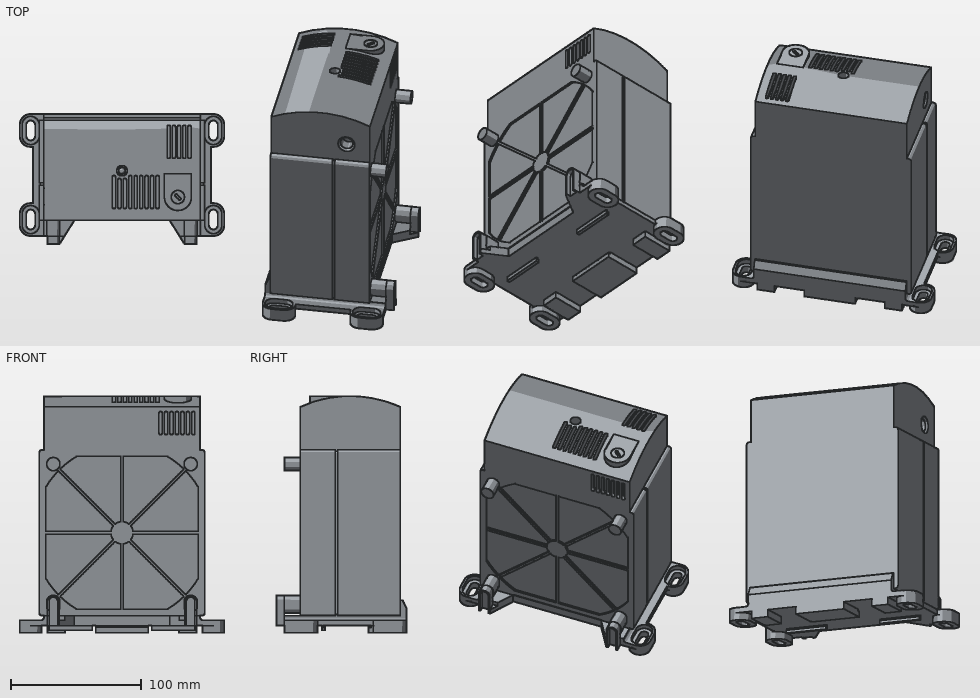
import cadquery as cq
import math


TOTAL_HEIGHT = 181.1
OVERALL_WIDTH = 156.5
FRONT_REACH = 18.1
BASE_FRONT = 12.0
BASE_BACK = 81.5

BODY_DEPTH = 76.8
HOOD_WIDTH = 119.5
EAVES_HEIGHT = 172.8
FAN_SIZE = 126.8
FAN_BOTTOM = 13.2
FAN_CORNER_RADIUS = 2.4
FAN_CENTER_Z = FAN_BOTTOM + FAN_SIZE / 2
SEAM_WIDTH = 1.8
SEAM_DEPTH = 0.9
SEAM_Y = 27.9

GRILLE_WIDTH = 116.6
GRILLE_RADIUS = 68.0
GRILLE_DEPTH = 1.5
HUB_RADIUS = 8.5
SPOKE_WIDTH = 2.0
SPOKE_BARS = 4

POST_X = 52.5
POST_RADIUS = 5.0
TOP_POST_Z = FAN_CENTER_Z + POST_X
LOW_POST_Z = 23.7
LOW_POST_DROP = 3.5
CLIP_WIDTH = 9.0
CLIP_GROOVE_WIDTH = 6.5
CLIP_GROOVE_DEPTH = 3.6

PLATE_BOTTOM = 5.6
FLANGE_TOP = 9.8
PAD_FRONT = 0.5
FLANGE_WIDTH = 136.2
PAD_FILLET = 2.2
GUSSET_INNER_X = 36.4
GUSSET_TIP_X = 47.8
BACK_WALL_TOP = 25.2
BACK_WALL_BEVEL_Y = 3.0
BACK_WALL_BEVEL_Z = 6.3

EAR_WIDTH = 16.8
EAR_RADIUS = EAR_WIDTH / 2
EAR_X = OVERALL_WIDTH / 2 - EAR_RADIUS
EAR_LENGTH = 25.4
EAR_POCKET_RADIUS = 6.5
EAR_POCKET_DEPTH = 4.0
EAR_SLOT_WIDTH = 6.7
EAR_SLOT_LENGTH = 15.0

HOOK_BACK_Y = 54.1
HOOK_LIP = 2.0
BACK_LIP_TOP = 4.3
BACK_HOOK_WIDTH = 40.2
BLOCK_INNER_X = 43.5
BLOCK_OUTER_X = POST_X + CLIP_WIDTH / 2
FRONT_HOOK_Y = 16.7
FRONT_HOOK_STEM = 1.3
FRONT_HOOK_INNER_X = 22.6
FRONT_HOOK_OUTER_X = 55.8
FRONT_HOOK_BOTTOM = 2.0

VENT_WIDTH = 2.5
VENT_PITCH = 4.2
VENT_DEPTH = 3.6
ROOF_VENT_FLOOR = 170.2
ROOF_VENT_LENGTH = 25.4
FRONT_VENT_LENGTH = 17.7
FRONT_VENT_TOP = 169.3
FRONT_VENT_LAST_X = 54.5
FRONT_VENT_COUNT = 7
REAR_VENT_START_Y = 47.5
REAR_VENT_LAST_X = 51.6
REAR_VENT_PITCH = 4.0
REAR_VENT_COUNT = 5
MIDDLE_VENT_START_Y = 9.0
MIDDLE_VENT_LAST_X = 27.2
MIDDLE_VENT_COUNT = 9
SHORT_VENTS = (1, 2)
SHORT_VENT_LOSS = 2.2

CAP_X = 42.7
CAP_RADIUS = 10.3
CAP_CENTER_Y = 18.0
CAP_BACK_Y = 35.7
DIAL_RADIUS = 5.0
DIAL_RECESS = 0.2
DIAL_SLOT_LENGTH = 5.5
DIAL_SLOT_WIDTH = 1.8
DIAL_SLOT_DEPTH = 1.8
DIAL_SLOT_ANGLE = -45
INDICATOR_Y = 38.0
INDICATOR_RADIUS = 4.0
INDICATOR_DEPTH = 10.9
LAMP_RADIUS = 2.5
ENTRY_Y = 18.3
ENTRY_Z = 154.7
ENTRY_RADIUS = 4.9
ENTRY_RIM_RADIUS = 6.5
ENTRY_DEPTH = 10.9


def block(x_range, y_range, z_range):
    """Axis-aligned box between the given limits."""
    size = [high - low for low, high in (x_range, y_range, z_range)]
    corner = (x_range[0], y_range[0], z_range[0])
    return cq.Workplane("XY").box(*size, centered=False).translate(corner)


def centred_block(width, y_range, z_range):
    return block((-width / 2, width / 2), y_range, z_range)


def both_sides(shape):
    """The shape together with its mirror image across the YZ plane."""
    return shape.union(shape.mirror("YZ"))


def cylinder(center, radius, length, direction):
    return cq.Workplane(cq.Solid.makeCylinder(radius, length, cq.Vector(*center), cq.Vector(*direction)))


def upright_slot(x, y, z, width, length, height):
    """Round-ended slot along Y, centred on (x, y), rising from z."""
    return cq.Workplane("XY", origin=(x, y, z)).slot2D(length, width, 90).extrude(height)


def make_hood():
    profile = (
        cq.Workplane("YZ", origin=(-HOOD_WIDTH / 2, 0, 0))
        .moveTo(0, FAN_BOTTOM)
        .lineTo(0, EAVES_HEIGHT)
        .threePointArc((BODY_DEPTH / 2, TOTAL_HEIGHT), (BODY_DEPTH, EAVES_HEIGHT))
        .lineTo(BODY_DEPTH, FAN_BOTTOM)
        .close()
    )
    return profile.extrude(HOOD_WIDTH)


def rounded_frame(inset, y_range):
    """Square block with rounded corners, drawn in from the fan outline by the inset."""
    low = FAN_BOTTOM + inset
    high = FAN_BOTTOM + FAN_SIZE - inset
    frame = centred_block(FAN_SIZE - 2 * inset, y_range, (low, high))
    return frame.edges("|Y").fillet(FAN_CORNER_RADIUS)


def make_fan_frame():
    """Square housing around the fan, with a shallow seam groove around it."""
    seam_front = SEAM_Y - SEAM_WIDTH / 2
    seam_back = SEAM_Y + SEAM_WIDTH / 2
    front_part = rounded_frame(0, (0, seam_front))
    seam_floor = rounded_frame(SEAM_DEPTH, (seam_front, seam_back))
    back_part = rounded_frame(0, (seam_back, BODY_DEPTH))
    return front_part.union(seam_floor).union(back_part)


def make_grille_recess():
    """Eight shallow sectors left between the hub and the spokes."""
    center = (0, 0, FAN_CENTER_Z)
    square = centred_block(
        GRILLE_WIDTH,
        (0, GRILLE_DEPTH),
        (FAN_CENTER_Z - GRILLE_WIDTH / 2, FAN_CENTER_Z + GRILLE_WIDTH / 2),
    )
    recess = square.intersect(cylinder(center, GRILLE_RADIUS, GRILLE_DEPTH, (0, 1, 0)))
    recess = recess.cut(cylinder(center, HUB_RADIUS, GRILLE_DEPTH, (0, 1, 0)))
    for i in range(SPOKE_BARS):
        bar = cq.Workplane("XY").box(2 * GRILLE_RADIUS, GRILLE_DEPTH, SPOKE_WIDTH)
        bar = bar.rotate((0, 0, 0), (0, 1, 0), i * 180 / SPOKE_BARS)
        recess = recess.cut(bar.translate((0, GRILLE_DEPTH / 2, FAN_CENTER_Z)))
    return recess


def make_posts():
    """Round upper posts and taller, round-ended lower posts."""
    posts = cylinder((POST_X, 0, TOP_POST_Z), POST_RADIUS, BASE_FRONT, (0, -1, 0))
    low_center = LOW_POST_Z - LOW_POST_DROP / 2
    low_post = (
        cq.Workplane("XZ", origin=(POST_X, 0, low_center))
        .slot2D(2 * POST_RADIUS + LOW_POST_DROP, 2 * POST_RADIUS, 90)
        .extrude(BASE_FRONT)
    )
    return both_sides(posts.union(low_post))


def arched_bar(width, front_y, back_y):
    """Upright bar with a rounded top, concentric with the clip arch."""
    half = width / 2
    arch_z = LOW_POST_Z + POST_RADIUS - CLIP_WIDTH / 2
    return (
        cq.Workplane("XZ", origin=(POST_X, back_y, 0))
        .moveTo(-half, PLATE_BOTTOM)
        .lineTo(-half, arch_z)
        .threePointArc((0, arch_z + half), (half, arch_z))
        .lineTo(half, PLATE_BOTTOM)
        .close()
        .extrude(back_y - front_y)
    )


def make_clips():
    clip = arched_bar(CLIP_WIDTH, -FRONT_REACH, -BASE_FRONT)
    groove = arched_bar(CLIP_GROOVE_WIDTH, -FRONT_REACH, CLIP_GROOVE_DEPTH - FRONT_REACH)
    return both_sides(clip.cut(groove))


def make_pad():
    """Raised middle of the base with its two front gussets and back wall."""
    half = HOOD_WIDTH / 2
    clip_outer_x = POST_X + CLIP_WIDTH / 2
    gusset = (
        cq.Workplane("XY", origin=(0, 0, PLATE_BOTTOM))
        .polyline([
            (GUSSET_INNER_X, PAD_FRONT),
            (GUSSET_INNER_X, 0),
            (GUSSET_TIP_X, -FRONT_REACH),
            (clip_outer_x, -FRONT_REACH),
            (clip_outer_x, -BASE_FRONT),
            (half, -BASE_FRONT),
            (half, PAD_FRONT),
        ])
        .close()
        .extrude(FAN_BOTTOM - PLATE_BOTTOM)
    )
    tip_relief = block((0, clip_outer_x), (-FRONT_REACH, -BASE_FRONT), (FLANGE_TOP, FAN_BOTTOM))
    clip_room = block(
        (POST_X - CLIP_WIDTH / 2, clip_outer_x), (-FRONT_REACH, -BASE_FRONT), (PLATE_BOTTOM, FLANGE_TOP)
    )
    gusset = gusset.cut(tip_relief).cut(clip_room)
    pad = centred_block(HOOD_WIDTH, (PAD_FRONT, BASE_BACK), (PLATE_BOTTOM, FAN_BOTTOM))
    wall = centred_block(HOOD_WIDTH, (BODY_DEPTH, BASE_BACK), (PLATE_BOTTOM, BACK_WALL_TOP))
    wall = wall.faces(">Y").edges(">Z").chamfer(BACK_WALL_BEVEL_Z, BACK_WALL_BEVEL_Y)
    return pad.union(both_sides(gusset)).union(wall)


def make_flange():
    """Side strips of the base, blended into the pad by a concave fillet."""
    pad_side = HOOD_WIDTH / 2
    profile = (
        cq.Workplane("XZ", origin=(0, BASE_BACK, 0))
        .moveTo(pad_side, PLATE_BOTTOM)
        .lineTo(FLANGE_WIDTH / 2, PLATE_BOTTOM)
        .lineTo(FLANGE_WIDTH / 2, FLANGE_TOP)
        .lineTo(pad_side + PAD_FILLET, FLANGE_TOP)
        .radiusArc((pad_side, FLANGE_TOP + PAD_FILLET), PAD_FILLET)
        .close()
    )
    return both_sides(profile.extrude(BASE_BACK + BASE_FRONT))


def ear_centers():
    for x in (-EAR_X, EAR_X):
        for y in (EAR_LENGTH / 2 - BASE_FRONT, BASE_BACK - EAR_LENGTH / 2):
            yield x, y


def make_ears():
    """Round-ended ears, squared toward the pad at the height of the flange."""
    ears = cq.Workplane("XY")
    for x, y in ear_centers():
        ears = ears.union(upright_slot(x, y, 0, EAR_WIDTH, EAR_LENGTH, FLANGE_TOP))
        shoulder_y = (y - EAR_LENGTH / 2, y + EAR_LENGTH / 2)
        shoulder_x = sorted((x, math.copysign(HOOD_WIDTH / 2, x)))
        ears = ears.union(block(shoulder_x, shoulder_y, (PLATE_BOTTOM, FLANGE_TOP)))
    return ears


def make_ear_openings():
    """Sunken pocket with a through slot in each ear."""
    rim = EAR_RADIUS - EAR_POCKET_RADIUS
    pocket_floor = FLANGE_TOP - EAR_POCKET_DEPTH
    openings = cq.Workplane("XY")
    for x, y in ear_centers():
        pocket = upright_slot(x, y, pocket_floor, EAR_WIDTH - 2 * rim, EAR_LENGTH - 2 * rim, EAR_POCKET_DEPTH)
        through = upright_slot(x, y, 0, EAR_SLOT_WIDTH, EAR_SLOT_LENGTH, FLANGE_TOP)
        openings = openings.union(pocket).union(through)
    return openings


def make_rail_hooks():
    """Back hook, the two blocks beside it and the two lighter front hooks."""
    stem = centred_block(BACK_HOOK_WIDTH, (HOOK_BACK_Y, BASE_BACK), (0, PLATE_BOTTOM))
    lip = centred_block(BACK_HOOK_WIDTH, (HOOK_BACK_Y - HOOK_LIP, HOOK_BACK_Y), (0, BACK_LIP_TOP))
    side_block = block(
        (BLOCK_INNER_X, BLOCK_OUTER_X), (BASE_BACK - EAR_LENGTH, BASE_BACK), (0, PLATE_BOTTOM)
    )
    front_x = (FRONT_HOOK_INNER_X, FRONT_HOOK_OUTER_X)
    stem_back_y = FRONT_HOOK_Y + FRONT_HOOK_STEM
    front_stem = block(front_x, (FRONT_HOOK_Y, stem_back_y), (FRONT_HOOK_BOTTOM, PLATE_BOTTOM))
    front_lip = block(
        front_x, (stem_back_y, stem_back_y + FRONT_HOOK_STEM), (FRONT_HOOK_BOTTOM, BACK_LIP_TOP)
    )
    return stem.union(lip).union(both_sides(side_block.union(front_stem).union(front_lip)))


def make_roof_vents(last_x, pitch, start_y, count, short_ones=()):
    """Row of slots through the roof, counted from the -X end."""
    vents = cq.Workplane("XY")
    rise = TOTAL_HEIGHT - ROOF_VENT_FLOOR
    for i in range(count):
        length = ROOF_VENT_LENGTH
        if i in short_ones:
            length -= SHORT_VENT_LOSS
        center_y = start_y + length / 2
        x = last_x - (count - 1 - i) * pitch
        vents = vents.union(upright_slot(x, center_y, ROOF_VENT_FLOOR, VENT_WIDTH, length, rise))
    return vents


def make_front_vents():
    centers = [(FRONT_VENT_LAST_X - i * VENT_PITCH, 0) for i in range(FRONT_VENT_COUNT)]
    return (
        cq.Workplane("XZ", origin=(0, 0, FRONT_VENT_TOP - FRONT_VENT_LENGTH / 2))
        .pushPoints(centers)
        .slot2D(FRONT_VENT_LENGTH, VENT_WIDTH, 90)
        .extrude(-VENT_DEPTH)
    )


def make_cap():
    """Flat-topped, round-nosed cap standing out of the sloping roof."""
    rise = TOTAL_HEIGHT - ROOF_VENT_FLOOR
    nose = cylinder((CAP_X, CAP_CENTER_Y, ROOF_VENT_FLOOR), CAP_RADIUS, rise, (0, 0, 1))
    tail = block(
        (CAP_X - CAP_RADIUS, CAP_X + CAP_RADIUS),
        (CAP_CENTER_Y, CAP_BACK_Y),
        (ROOF_VENT_FLOOR, TOTAL_HEIGHT),
    )
    dial_center = (CAP_X, CAP_CENTER_Y, TOTAL_HEIGHT)
    dial = cylinder(dial_center, DIAL_RADIUS, DIAL_RECESS, (0, 0, -1))
    dial_slot = (
        cq.Workplane("XY", origin=dial_center)
        .transformed(rotate=(0, 0, DIAL_SLOT_ANGLE))
        .rect(DIAL_SLOT_LENGTH, DIAL_SLOT_WIDTH)
        .extrude(-DIAL_SLOT_DEPTH)
    )
    return nose.union(tail).cut(dial).cut(dial_slot)


def make_indicator_hole():
    """Round hole in the crown of the roof with a domed lamp at its floor."""
    floor_center = (0, INDICATOR_Y, TOTAL_HEIGHT - INDICATOR_DEPTH)
    hole = cylinder(floor_center, INDICATOR_RADIUS, INDICATOR_DEPTH, (0, 0, 1))
    return hole.cut(cq.Workplane("XY").sphere(LAMP_RADIUS).translate(floor_center))


def make_cable_entry():
    """Countersunk round hole in the -X side of the hood."""
    rim_center = (-HOOD_WIDTH / 2, ENTRY_Y, ENTRY_Z)
    rim_depth = ENTRY_RIM_RADIUS - ENTRY_RADIUS
    hole = cylinder(rim_center, ENTRY_RADIUS, ENTRY_DEPTH, (1, 0, 0))
    countersink = cq.Solid.makeCone(
        ENTRY_RIM_RADIUS, ENTRY_RADIUS, rim_depth, cq.Vector(*rim_center), cq.Vector(1, 0, 0)
    )
    return hole.union(cq.Workplane(countersink))


result = make_hood().union(make_fan_frame())
result = result.cut(make_grille_recess())
rear_vents = make_roof_vents(REAR_VENT_LAST_X, REAR_VENT_PITCH, REAR_VENT_START_Y, REAR_VENT_COUNT)
middle_vents = make_roof_vents(
    MIDDLE_VENT_LAST_X, VENT_PITCH, MIDDLE_VENT_START_Y, MIDDLE_VENT_COUNT, SHORT_VENTS
)
result = result.cut(rear_vents).cut(middle_vents)
result = result.cut(make_front_vents())
result = result.cut(make_indicator_hole())
result = result.cut(make_cable_entry())
result = result.union(make_cap())
result = result.union(make_pad()).union(make_flange())
result = result.union(make_ears()).cut(make_ear_openings())
result = result.union(make_posts()).union(make_clips())
result = result.union(make_rail_hooks())